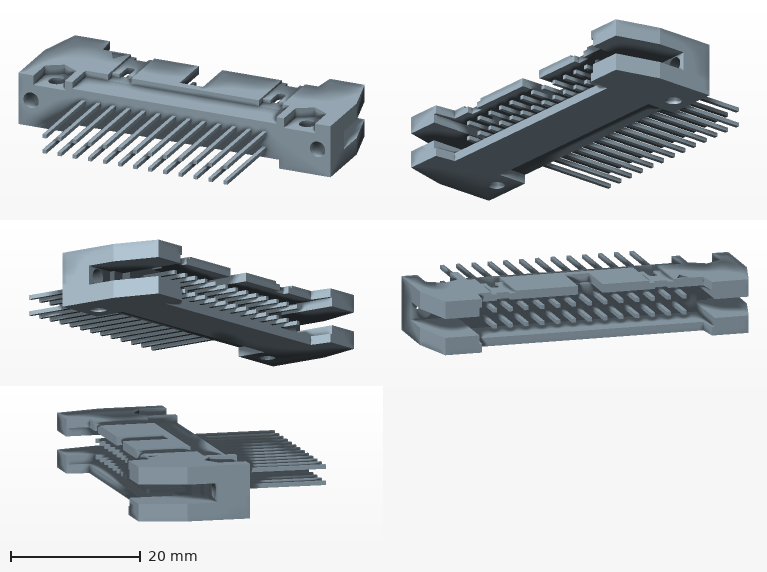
import cadquery as cq
import math


length = 52.6
height = 8.5
shell_depth = 13.8
ear_depth = 17.3
ear_taper_start = 10.0
ear_tip_outer = 24.4
ear_tip_inner = 18.5
ear_root_inner = 18.15
mid_z = height / 2
half_length = length / 2

cavity_floor = 7.4
cavity_half_width = 18.95
wall = 1.35

ear_slot_height = 3.0
ear_slot_floor = 5.2
ear_slot_step = 6.0
ear_slot_step_x = 21.05

recess_length = 5.05
top_recess_width = 34.4
top_recess_drop = 1.1
bottom_recess_width = 35.35
bottom_recess_drop = 1.45

key_width = 3.95
key_start = 6.45

groove_pitches = (-4.5, 5.5)
groove_width = 3.95
groove_drop = 0.35
groove_shelf_drop = 1.05
groove_shelf_end = 6.65
window_width = 1.45
window_end = 9.7
notch_width = 2.1
notch_length = 0.95

hole_diameter = 2.6
mount_x = 21.1
mount_y = 2.9
nut_flats = 5.25
nut_drop = 1.6
rear_hole_x = 24.15
rear_hole_z = 4.3

pins_per_row = 13
pin_row_length = 30.5
pitch = pin_row_length / (pins_per_row - 1)
pin_size = 0.65
pin_rear = 15.0
pin_front = 13.5

mark_x = -pin_row_length / 2
mark_width = 2.6
mark_base_y = 13.45
mark_tip_y = 11.05
mark_drop = 0.25


def block(center_x, width, y_range, z_range):
    """Box centred on X with given Y and Z limits."""
    (y0, y1), (z0, z1) = y_range, z_range
    origin = (center_x, y0, z0)
    return cq.Workplane("XY", origin=origin).box(width, y1 - y0, z1 - z0, centered=(True, False, False))


def top_cut(center_x, width, y_range, drop):
    """Cutter that sinks into the top face by the given drop."""
    return block(center_x, width, y_range, (height - drop, height))


def housing_blank():
    right_side = [
        (half_length, 0),
        (half_length, ear_taper_start),
        (ear_tip_outer, ear_depth),
        (ear_tip_inner, ear_depth),
        (ear_root_inner, shell_depth),
    ]
    left_side = [(-x, y) for x, y in reversed(right_side)]
    return cq.Workplane("XY").polyline(right_side + left_side).close().extrude(height)


def latch_slots():
    """Slots through both ears, stepped up toward the cavity."""
    slot_z = (mid_z - ear_slot_height / 2, mid_z + ear_slot_height / 2)
    slots = block(0, length, (ear_slot_step, ear_depth), slot_z)
    end_width = half_length - ear_slot_step_x
    for side in (-1, 1):
        center = side * (half_length - end_width / 2)
        slots = slots.union(block(center, end_width, (ear_slot_floor, ear_depth), slot_z))
    core = block(0, 2 * cavity_half_width, (0, cavity_floor), (0, height))
    return slots.cut(core)


def latch_groove(center_x):
    """Stepped groove with a round-ended window and a notch at the rim."""
    groove = top_cut(center_x, groove_width, (0, shell_depth), groove_drop)
    shelf = top_cut(center_x, groove_width, (0, groove_shelf_end), groove_shelf_drop)
    radius = window_width / 2
    arc_y = window_end - radius
    entry = top_cut(center_x, window_width, (0, cavity_floor), groove_shelf_drop)
    window = top_cut(center_x, window_width, (cavity_floor, arc_y), wall)
    round_end = cq.Workplane("XY", origin=(center_x, arc_y, height - wall)).circle(radius).extrude(wall)
    notch = top_cut(center_x, notch_width, (shell_depth - notch_length, shell_depth), wall)
    return groove.union(shelf).union(entry).union(window).union(round_end).union(notch)


def mounting_cut(side):
    """Vertical hole with a nut pocket open to the rear, and a hole into the latch slot."""
    center = (side * mount_x, mount_y)
    hole = cq.Workplane("XY").center(*center).circle(hole_diameter / 2).extrude(height)
    half = nut_flats / 2
    tip_y = nut_flats / math.sqrt(3)
    corner_y = tip_y / 2
    nut = (
        cq.Workplane("XY", origin=(*center, height - nut_drop))
        .polyline([(-half, -mount_y), (half, -mount_y), (half, corner_y), (0, tip_y), (-half, corner_y)])
        .close()
        .extrude(nut_drop)
    )
    rear_hole = (
        cq.Workplane("XZ", origin=(side * rear_hole_x, 0, rear_hole_z))
        .circle(hole_diameter / 2)
        .extrude(-ear_slot_floor)
    )
    return hole.union(nut).union(rear_hole)


def pin_one_mark():
    half = mark_width / 2
    corners = [(mark_x - half, mark_base_y), (mark_x + half, mark_base_y), (mark_x, mark_tip_y)]
    plane = cq.Workplane("XY", origin=(0, 0, height - mark_drop))
    return plane.polyline(corners).close().extrude(mark_drop)


def pins():
    return (
        cq.Workplane("XZ", origin=(0, pin_front, mid_z))
        .rarray(pitch, pitch, pins_per_row, 2)
        .rect(pin_size, pin_size)
        .extrude(pin_front + pin_rear)
    )


def cavity():
    return block(0, 2 * cavity_half_width, (cavity_floor, ear_depth), (wall, height - wall))


housing = housing_blank()
housing = housing.cut(cavity())
housing = housing.cut(latch_slots())
housing = housing.cut(top_cut(0, top_recess_width, (0, recess_length), top_recess_drop))
housing = housing.cut(block(0, bottom_recess_width, (0, recess_length), (0, bottom_recess_drop)))
housing = housing.cut(top_cut(0, key_width, (key_start, shell_depth), wall))
housing = housing.cut(pin_one_mark())
for side in (-1, 1):
    housing = housing.cut(mounting_cut(side))
for pitches in groove_pitches:
    housing = housing.cut(latch_groove(pitches * pitch))

result = housing.union(pins())